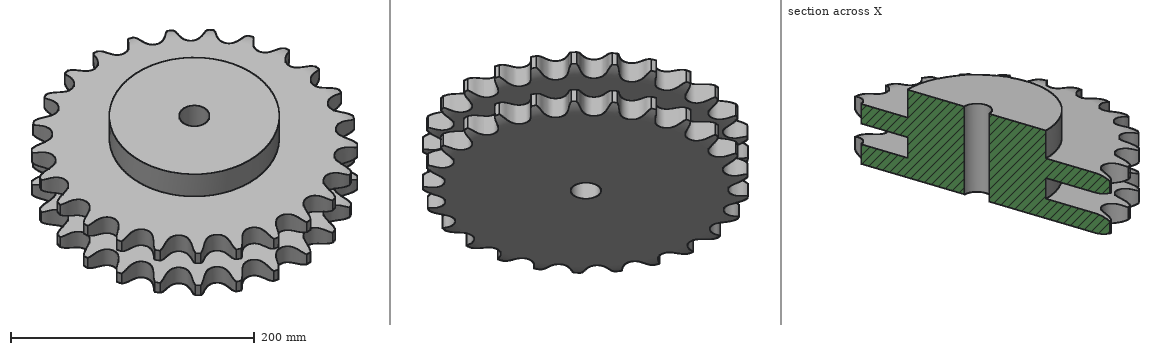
import cadquery as cq
import math

teeth = 25
tip_diameter = 268.5
pitch_diameter = 253.2
roller_diameter = 19.0
roller_clearance = 0.1

disc_thickness = 18.2
disc_spacing = 36.5
overall_height = 80.0
hub_diameter = 140.0
bore_diameter = 25.0

tip_radius = tip_diameter / 2
pitch_radius = pitch_diameter / 2

face_radius = 119.4
face_rounding_drop = 3.5

tooth_angle = 2 * math.pi / teeth
seat_angle = math.radians(35 + 60 / teeth)
working_angle = math.radians(18 - 56 / teeth)
topping_angle = math.radians(17 - 64 / teeth)
flank_angle = seat_angle - working_angle

seat_radius = roller_diameter / 2 + roller_clearance
working_offset = 0.8 * roller_diameter
working_radius = working_offset + seat_radius
topping_offset = 1.4 * roller_diameter
flank_length = topping_offset * math.sin(topping_angle) - working_offset * math.sin(working_angle)
topping_radius = (
    working_offset * math.cos(working_angle)
    + topping_offset * math.cos(topping_angle)
    - working_radius
)


def offset(point, distance, angle):
    """Point reached from another by a distance along an angle in the XY plane."""
    return (point[0] + distance * math.cos(angle), point[1] + distance * math.sin(angle))


def topping_end_angle(center):
    """Direction from the topping arc's center to where the arc meets the tip circle."""
    distance = math.hypot(*center)
    cosine = (tip_radius**2 - distance**2 - topping_radius**2) / (2 * distance * topping_radius)
    return math.atan2(center[1], center[0]) + math.acos(cosine)


def half_gap():
    """Right half of the tooth gap centered on +Y, as points from its root to the tip circle.

    Each arc gives its midpoint and then its end; the straight flank gives only its end.
    """
    roller_center = (0, pitch_radius)
    root = offset(roller_center, seat_radius, -math.pi / 2)
    seat_mid = offset(roller_center, seat_radius, -(math.pi / 2 + seat_angle) / 2)
    seat_end = offset(roller_center, seat_radius, -seat_angle)

    working_center = offset(roller_center, working_offset, math.pi - seat_angle)
    working_mid = offset(working_center, working_radius, -(seat_angle + flank_angle) / 2)
    working_end = offset(working_center, working_radius, -flank_angle)

    flank_end = offset(working_end, flank_length, math.pi / 2 - flank_angle)

    topping_center = offset(flank_end, topping_radius, -flank_angle)
    start_angle = math.pi - flank_angle
    end_angle = topping_end_angle(topping_center)
    topping_mid = offset(topping_center, topping_radius, (start_angle + end_angle) / 2)
    topping_end = offset(topping_center, topping_radius, end_angle)
    return [root, seat_mid, seat_end, working_mid, working_end, flank_end, topping_mid, topping_end]


def turned(point, angle):
    """Point turned clockwise about the origin."""
    x, y = point
    return (
        x * math.cos(angle) + y * math.sin(angle),
        y * math.cos(angle) - x * math.sin(angle),
    )


def tooth_outline():
    """Closed outline of all the teeth, with a gap centered on +Y."""
    right_half = half_gap()
    left_half = [(-x, y) for x, y in right_half]
    tip_mid = turned((0, tip_radius), tooth_angle / 2)

    outline = cq.Workplane("XY").moveTo(*right_half[0])
    for index in range(teeth):
        gap_turn = index * tooth_angle
        rising = [turned(point, gap_turn) for point in right_half]
        falling = [turned(point, gap_turn + tooth_angle) for point in left_half]
        _, seat_mid, seat_end, working_mid, working_end, flank_end, topping_mid, topping_end = rising
        outline = (
            outline.threePointArc(seat_mid, seat_end)
            .threePointArc(working_mid, working_end)
            .lineTo(*flank_end)
            .threePointArc(topping_mid, topping_end)
        )
        outline = outline.threePointArc(turned(tip_mid, gap_turn), falling[-1])
        root, seat_mid, seat_end, working_mid, working_end, flank_end, topping_mid, _ = falling
        outline = (
            outline.threePointArc(topping_mid, flank_end)
            .lineTo(*working_end)
            .threePointArc(working_mid, seat_end)
            .threePointArc(seat_mid, root)
        )
    return outline.close()


def rounded_blank():
    """Turned disc whose two faces curve in towards the rim, tangent to the flat faces."""
    rim_width = tip_radius - face_radius
    rounding_radius = (rim_width**2 + face_rounding_drop**2) / (2 * face_rounding_drop)
    mid_radius = face_radius + rim_width / 2
    mid_drop = rounding_radius - math.sqrt(rounding_radius**2 - (rim_width / 2) ** 2)
    return (
        cq.Workplane("XZ")
        .lineTo(face_radius, 0)
        .threePointArc((mid_radius, mid_drop), (tip_radius, face_rounding_drop))
        .lineTo(tip_radius, disc_thickness - face_rounding_drop)
        .threePointArc((mid_radius, disc_thickness - mid_drop), (face_radius, disc_thickness))
        .lineTo(0, disc_thickness)
        .close()
        .revolve(360, (0, 0, 0), (0, 1, 0))
    )


disc = tooth_outline().extrude(disc_thickness).intersect(rounded_blank())
hub = cq.Workplane("XY").circle(hub_diameter / 2).extrude(overall_height)
bore = cq.Workplane("XY").circle(bore_diameter / 2).extrude(overall_height)

result = hub.union(disc).union(disc.translate((0, 0, disc_spacing))).cut(bore)